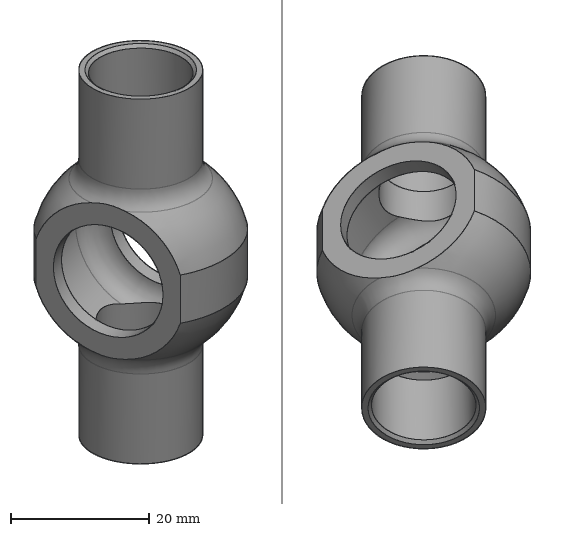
import cadquery as cq
import math

HEIGHT = 60.0
WIDTH_Y = 20.0
BALL_RADIUS = 16.0
BAND_RADIUS = 15.5
TUBE_RADIUS = 9.0
NECK_FILLET = 4.0

PASSAGE_RADIUS = 6.5
SOCKET_RADIUS = 15.15 / 2
SOCKET_DEPTH = 12.0
SOCKET_CONE_ANGLE = 120.0
MOUTH_CHAMFER = 0.5

BORE_RADIUS = 9.0
CHAMBER_RADIUS = 12.75
CHAMBER_LENGTH = 15.0

half_height = HEIGHT / 2
half_width = WIDTH_Y / 2


def make_body():
    """Ball with a trimmed equator, blended into a tube above and below, cut by two flats."""
    band_z = math.sqrt(BALL_RADIUS**2 - BAND_RADIUS**2)
    fillet_x = TUBE_RADIUS + NECK_FILLET
    fillet_z = math.sqrt((BALL_RADIUS + NECK_FILLET) ** 2 - fillet_x**2)
    tangent_ratio = BALL_RADIUS / (BALL_RADIUS + NECK_FILLET)
    tangent_x = fillet_x * tangent_ratio
    tangent_z = fillet_z * tangent_ratio

    ball_angle = (math.atan2(band_z, BAND_RADIUS) + math.atan2(tangent_z, tangent_x)) / 2
    ball_mid_x = BALL_RADIUS * math.cos(ball_angle)
    ball_mid_z = BALL_RADIUS * math.sin(ball_angle)
    fillet_angle = math.pi + math.atan2(fillet_z, fillet_x) / 2
    fillet_mid_x = fillet_x + NECK_FILLET * math.cos(fillet_angle)
    fillet_mid_z = fillet_z + NECK_FILLET * math.sin(fillet_angle)

    upper_half = (
        cq.Workplane("XZ")
        .lineTo(BAND_RADIUS, 0)
        .lineTo(BAND_RADIUS, band_z)
        .threePointArc((ball_mid_x, ball_mid_z), (tangent_x, tangent_z))
        .threePointArc((fillet_mid_x, fillet_mid_z), (TUBE_RADIUS, fillet_z))
        .lineTo(TUBE_RADIUS, half_height)
        .lineTo(0, half_height)
        .close()
        .revolve(360, (0, 0), (0, 1))
    )
    body = upper_half.union(upper_half.mirror("XY"))
    return body.intersect(cq.Workplane("XY").box(2 * BALL_RADIUS, WIDTH_Y, HEIGHT))


def make_passage():
    """Vertical bore with a chamfered socket at each end."""
    socket_end_z = half_height - SOCKET_DEPTH
    cone_length = (SOCKET_RADIUS - PASSAGE_RADIUS) / math.tan(math.radians(SOCKET_CONE_ANGLE / 2))
    cone_end_z = socket_end_z - cone_length
    upper_half = (
        cq.Workplane("XZ")
        .lineTo(PASSAGE_RADIUS, 0)
        .lineTo(PASSAGE_RADIUS, cone_end_z)
        .lineTo(SOCKET_RADIUS, socket_end_z)
        .lineTo(SOCKET_RADIUS, half_height - MOUTH_CHAMFER)
        .lineTo(SOCKET_RADIUS + MOUTH_CHAMFER, half_height)
        .lineTo(0, half_height)
        .close()
        .revolve(360, (0, 0), (0, 1))
    )
    return upper_half.union(upper_half.mirror("XY"))


def make_cross_bore():
    """Bore along Y with a wider chamber in the middle, its ends quarter-rounded down to the bore."""
    rounding = CHAMBER_RADIUS - BORE_RADIUS
    lip_y = CHAMBER_LENGTH / 2
    round_y = lip_y - rounding
    round_mid_x = BORE_RADIUS + rounding * math.sqrt(0.5)
    round_mid_y = round_y + rounding * math.sqrt(0.5)

    return (
        cq.Workplane("XY")
        .moveTo(0, -half_width)
        .lineTo(BORE_RADIUS, -half_width)
        .lineTo(BORE_RADIUS, -lip_y)
        .threePointArc((round_mid_x, -round_mid_y), (CHAMBER_RADIUS, -round_y))
        .lineTo(CHAMBER_RADIUS, round_y)
        .threePointArc((round_mid_x, round_mid_y), (BORE_RADIUS, lip_y))
        .lineTo(BORE_RADIUS, half_width)
        .lineTo(0, half_width)
        .close()
        .revolve(360, (0, 0), (0, 1))
    )


result = make_body().cut(make_passage()).cut(make_cross_bore())